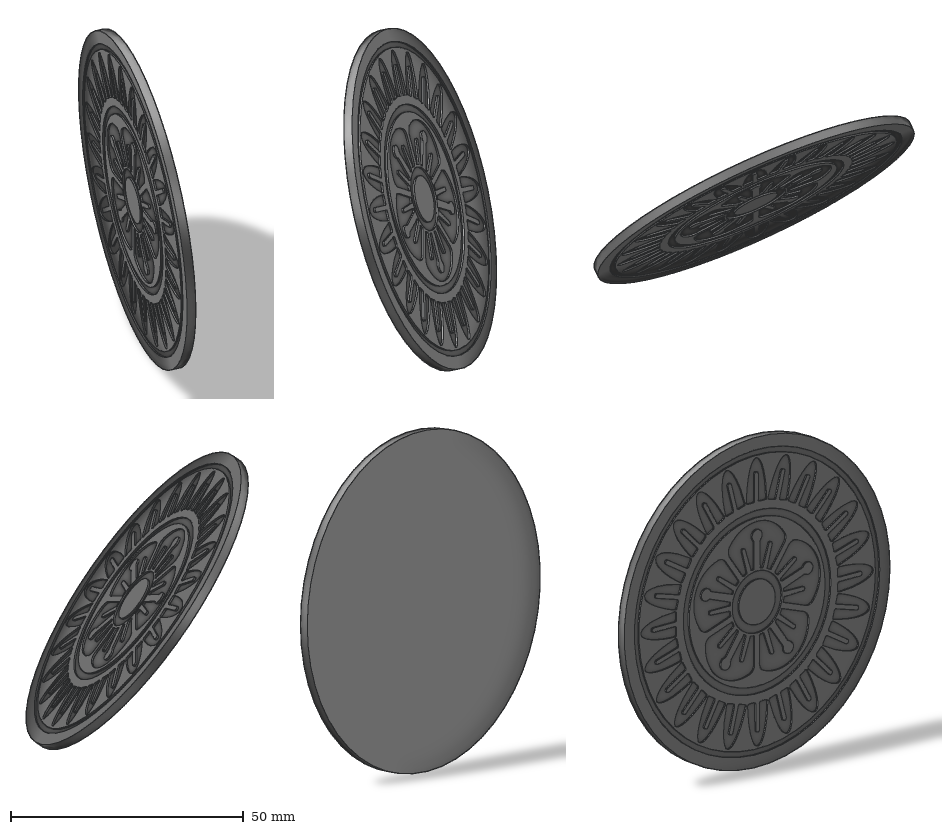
import cadquery as cq
import math

disc_diameter = 74.75
disc_thickness = 2.0
relief_depth = 0.4

rim_groove = (34.5, 33.25)
middle_groove = (20.75, 19.1)
hub_groove = (7.0, 5.1)

leaf_count = 24
leaf_twist = 0.4
leaf_base = 22.65
leaf_tip = 32.65
leaf_half_width = 2.85
leaf_corner_radius = 0.45
vein_half_width = 0.52
vein_tip = 29.5

petal_count = 5
petal_base_radius = 7.55
petal_tip = 18.25
petal_arc_radius = 9.3
petal_shoulder_radius = 2.0
petal_base_corner_radius = 0.25
petal_gap = 1.38

stamen_base_half_width = 0.95
stamen_neck_half_width = 0.82
stamen_head_center = 15.0
stamen_head_radius = 1.4
stamen_neck_radius = 1.0
filament_angle = 17.0
filament_base_half_width = 0.69
filament_tip_half_width = 0.48
filament_tip = 13.4

disc_radius = disc_diameter / 2
petal_half_angle = math.radians(180 / petal_count)


def face_plane():
    """Plane of the decorated -Y face; local x is +X, local y is +Z, normal is -Y."""
    return cq.Workplane("XZ")


def turned(body, degrees):
    """Turn a body clockwise about the disc axis, as seen on the decorated face."""
    return body.rotate((0, 0, 0), (0, 1, 0), degrees)


def box_between(half_width, bottom, top):
    """Selector for edges within half_width of the Z axis, between two heights."""
    margin = 0.1
    return cq.selectors.BoxSelector(
        (-half_width - margin, -relief_depth, bottom),
        (half_width + margin, 2 * relief_depth, top),
    )


def ring_groove(radii):
    """Flat-bottomed ring between two radii."""
    outer, inner = radii
    return face_plane().circle(outer).circle(inner).extrude(-relief_depth)


def leaf_pocket():
    """Half-ellipse pocket with a round-ended vein left standing along its middle."""
    leaf_length = leaf_tip - leaf_base
    vein_shoulder = vein_tip - vein_half_width
    return (
        face_plane()
        .center(0, leaf_base)
        .ellipse(leaf_half_width, leaf_length)
        .extrude(-relief_depth)
        .intersect(
            face_plane()
            .rect(2 * leaf_half_width, leaf_length, centered=(True, False))
            .extrude(-relief_depth)
            .translate((0, 0, leaf_base))
        )
        .cut(
            face_plane()
            .moveTo(-vein_half_width, 0)
            .lineTo(-vein_half_width, vein_shoulder)
            .threePointArc((0, vein_tip), (vein_half_width, vein_shoulder))
            .lineTo(vein_half_width, 0)
            .close()
            .extrude(-relief_depth)
        )
        .edges("|Y")
        .edges(box_between(leaf_half_width, leaf_base - leaf_corner_radius, leaf_base + leaf_corner_radius))
        .fillet(leaf_corner_radius)
    )


def petal_blank():
    """Petal outline: two straight sides, a rounded tip and a base on a hub circle."""
    side_start = petal_gap / 2 / math.sin(petal_half_angle)
    arc_center = petal_tip - petal_arc_radius
    side_distance = (arc_center - side_start) * math.sin(petal_half_angle)
    side_foot = (arc_center - side_start) * math.cos(petal_half_angle)
    side_length = side_foot + math.sqrt(petal_arc_radius**2 - side_distance**2)
    shoulder_x = side_length * math.sin(petal_half_angle)
    shoulder_y = side_start + side_length * math.cos(petal_half_angle)
    return (
        face_plane()
        .moveTo(0, side_start)
        .lineTo(-shoulder_x, shoulder_y)
        .threePointArc((0, petal_tip), (shoulder_x, shoulder_y))
        .close()
        .extrude(-relief_depth)
        .edges("|Y and (not <Z)")
        .fillet(petal_shoulder_radius)
        .cut(face_plane().circle(petal_base_radius).extrude(-relief_depth))
    )


def stamen():
    """Tapered stem with a round head, blended where the two meet."""
    stem = (
        face_plane()
        .moveTo(-stamen_base_half_width, 0)
        .lineTo(-stamen_neck_half_width, stamen_head_center)
        .lineTo(stamen_neck_half_width, stamen_head_center)
        .lineTo(stamen_base_half_width, 0)
        .close()
        .extrude(-relief_depth)
    )
    head = face_plane().center(0, stamen_head_center).circle(stamen_head_radius).extrude(-relief_depth)
    head_bottom = stamen_head_center - stamen_head_radius
    neck_limit = stamen_head_center - stamen_neck_half_width
    return (
        stem.union(head)
        .edges("|Y")
        .edges(box_between(stamen_head_radius, head_bottom, neck_limit))
        .fillet(stamen_neck_radius)
    )


def filament():
    """Tapered bar with a rounded tip."""
    tip_shoulder = filament_tip - filament_tip_half_width
    return (
        face_plane()
        .moveTo(-filament_base_half_width, petal_base_radius / 2)
        .lineTo(-filament_tip_half_width, tip_shoulder)
        .threePointArc((0, filament_tip), (filament_tip_half_width, tip_shoulder))
        .lineTo(filament_base_half_width, petal_base_radius / 2)
        .close()
        .extrude(-relief_depth)
    )


def petal_pocket():
    """Petal pocket with a stamen and two filaments left standing in it."""
    pocket = petal_blank().cut(stamen())
    for angle in (-filament_angle, filament_angle):
        pocket = pocket.cut(turned(filament(), angle))
    half_span = petal_base_radius * math.sin(petal_half_angle)
    return (
        pocket.edges("|Y")
        .edges(box_between(half_span, 0, petal_base_radius))
        .fillet(petal_base_corner_radius)
    )


pockets = [ring_groove(radii) for radii in (rim_groove, middle_groove, hub_groove)]

leaf = leaf_pocket()
for index in range(leaf_count):
    pockets.append(turned(leaf, index * 360 / leaf_count - leaf_twist))

petal = petal_pocket()
for index in range(petal_count):
    pockets.append(turned(petal, index * 360 / petal_count))

relief = cq.Compound.makeCompound([pocket.val() for pocket in pockets])
disc = face_plane().circle(disc_radius).extrude(-disc_thickness)

result = disc.cut(cq.Workplane(relief)).translate((0, -disc_thickness / 2, 0))